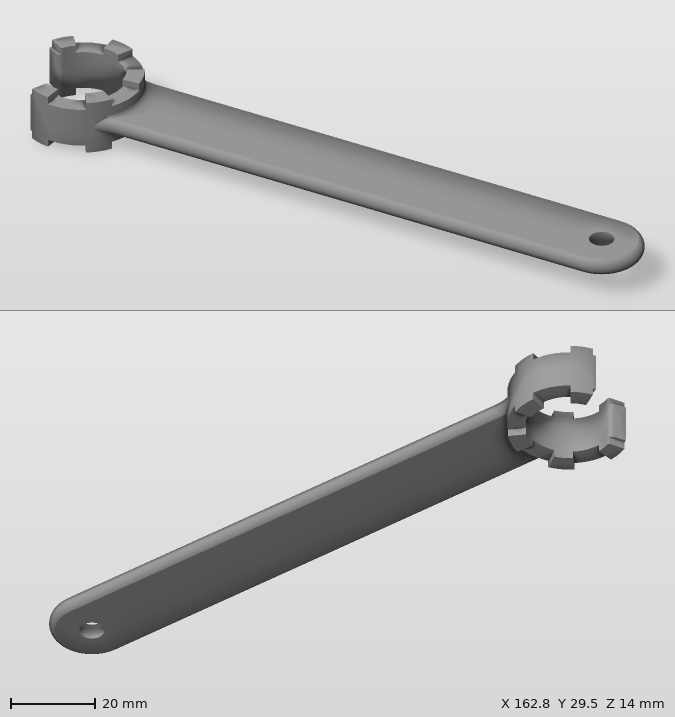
import cadquery as cq
import math

ring_diameter = 29.5
ring_radius = ring_diameter / 2
bore_radius = 10.4
head_height = 14.0
notch_depth = 2.0
body_height = head_height - 2 * notch_depth

upper_tip_angle = 151.0
lower_tip_angle = -119.5
tip_setback = 3.0
notch_span = 37.0
notch_pitch = 62.0
first_notch_start = -96.0
notch_count = 4
tip_rounding = 1.3

overall_length = 162.8
handle_width = 20.3
handle_thickness = 4.2
head_reach = -ring_radius * math.cos(math.radians(upper_tip_angle))
handle_end = overall_length - head_reach
eye_x = handle_end - handle_width / 2
eye_diameter = 6.0
edge_bulge = 1.3
flare_radius = 13.0
flare_overlap = 0.2
joint_fillet = 0.7

half_width = handle_width / 2
flare_y = half_width + flare_radius
flare_x = math.sqrt((ring_radius - flare_overlap + flare_radius) ** 2 - flare_y**2)
contact_angle = math.degrees(math.atan2(flare_y, flare_x))
root_radius = (ring_radius + bore_radius) / 2


def polar(radius, angle):
    a = math.radians(angle)
    return radius * math.cos(a), radius * math.sin(a)


def ring_sector(start, end, height):
    """Part of the ring between two angles, centred on Z = 0."""
    middle = (start + end) / 2
    return (
        cq.Workplane("XY")
        .workplane(offset=-height / 2)
        .moveTo(*polar(bore_radius, start))
        .lineTo(*polar(ring_radius, start))
        .threePointArc(polar(ring_radius, middle), polar(ring_radius, end))
        .lineTo(*polar(bore_radius, end))
        .threePointArc(polar(bore_radius, middle), polar(bore_radius, start))
        .close()
        .extrude(height)
    )


def notch_cutter(start, end, side):
    """Wedge between two angles, above (+1) or below (-1) the body of the ring."""
    reach = 2 * ring_radius
    return (
        cq.Workplane("XY")
        .workplane(offset=side * body_height / 2)
        .polyline([(0, 0), polar(reach, start), polar(reach, end)])
        .close()
        .extrude(side * head_height)
    )


def round_inner_corner(sector, angle):
    """Round the vertical edge where a radial end face meets the bore."""
    corner_x, corner_y = polar(bore_radius, angle)
    nearest = cq.selectors.NearestToPointSelector((corner_x, corner_y, 0))
    return sector.edges("|Z").edges(nearest).fillet(tip_rounding)


def make_head():
    head = ring_sector(lower_tip_angle, upper_tip_angle, head_height)
    head = round_inner_corner(head, lower_tip_angle)
    head = round_inner_corner(head, upper_tip_angle)

    gaps = [
        (lower_tip_angle - tip_setback, lower_tip_angle + tip_setback),
        (upper_tip_angle - tip_setback, upper_tip_angle + tip_setback),
    ]
    for i in range(notch_count):
        notch_start = first_notch_start + i * notch_pitch
        gaps.append((notch_start, notch_start + notch_span))
    for start, end in gaps:
        for side in (-1, 1):
            head = head.cut(notch_cutter(start, end, side))
    return head


def edge_profile(tip_x, side):
    """Sketch in XZ, from the axis out to a bulging (+1) or hollow (-1) edge with its middle at tip_x."""
    half_thickness = handle_thickness / 2
    corner_x = tip_x - side * edge_bulge
    return (
        cq.Workplane("XZ")
        .moveTo(0, -half_thickness)
        .lineTo(corner_x, -half_thickness)
        .threePointArc((tip_x, 0), (corner_x, half_thickness))
        .lineTo(0, half_thickness)
        .close()
    )


def make_handle():
    """Bar with bulging edges, a round end and hollow flares running into the ring."""
    contact_x, contact_y = polar(ring_radius, contact_angle)
    root_x, root_y = polar(root_radius, contact_angle)

    half_bar = edge_profile(half_width, 1).extrude(eye_x - flare_x)
    half_bar = half_bar.rotate((0, 0, 0), (0, 0, 1), -90)
    lower_half = half_bar.translate((eye_x, 0, 0))
    bar = lower_half.union(lower_half.mirror("XZ"))

    round_end = edge_profile(half_width, 1).revolve(360, (0, 0), (0, 1)).translate((eye_x, 0, 0))

    neck = (
        cq.Workplane("XY")
        .workplane(offset=-handle_thickness / 2)
        .moveTo(root_x, -root_y)
        .lineTo(contact_x, -contact_y)
        .lineTo(flare_x, -contact_y)
        .lineTo(flare_x, contact_y)
        .lineTo(contact_x, contact_y)
        .lineTo(root_x, root_y)
        .threePointArc((root_radius, 0), (root_x, -root_y))
        .close()
        .extrude(handle_thickness)
    )
    for side in (-1, 1):
        flare_cutter = edge_profile(flare_radius, -1).revolve(360, (0, 0), (0, 1))
        neck = neck.cut(flare_cutter.translate((flare_x, side * flare_y, 0)))

    eye = cq.Workplane("XY").center(eye_x, 0).circle(eye_diameter / 2).extrude(handle_thickness, both=True)
    return bar.union(round_end).union(neck).cut(eye)


def make_joint_fillet():
    """Collar whose hollow corners blend the flat faces of the handle into the ring."""
    low_z = handle_thickness / 2
    high_z = low_z + joint_fillet
    outer_radius = ring_radius + joint_fillet
    cove_depth = joint_fillet * (1 - math.sqrt(0.5))
    cove_radius = ring_radius + cove_depth
    cove_z = low_z + cove_depth
    collar = (
        cq.Workplane("XZ")
        .moveTo(root_radius, -high_z)
        .lineTo(ring_radius, -high_z)
        .threePointArc((cove_radius, -cove_z), (outer_radius, -low_z))
        .lineTo(outer_radius, low_z)
        .threePointArc((cove_radius, cove_z), (ring_radius, high_z))
        .lineTo(root_radius, high_z)
        .close()
        .revolve(2 * contact_angle, (0, 0), (0, 1))
        .rotate((0, 0, 0), (0, 0, 1), -contact_angle)
    )
    for side in (-1, 1):
        edge_trim = (
            cq.Workplane("XY")
            .center(flare_x, side * flare_y)
            .circle(flare_radius + edge_bulge)
            .extrude(high_z, both=True)
        )
        collar = collar.cut(edge_trim)
    return collar


result = make_head().union(make_handle()).union(make_joint_fillet())